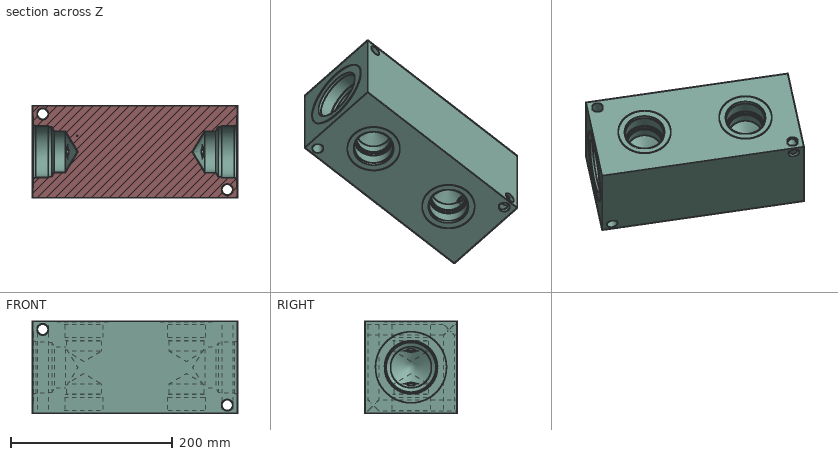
import cadquery as cq
import math

LENGTH = 254.0
WIDTH = 114.3
HEIGHT = 114.3

MOUNT_DIA = 13.49
MOUNT_END_INSET = 12.7
MOUNT_SIDE_INSET = 10.3

SPOTFACE_DEPTH = 0.8
SEAT_HALF_ANGLE = 15.0
DRILL_POINT_ANGLE = 118.0
THREAD_DEPTH = 19.8
TAP_DRILL_DEPTH = 23.7

END_PORT = {
    "spotface_dia": 88.14,
    "seat_mouth_dia": 65.7,
    "seat_root_dia": 63.96,
    "thread_dia": 63.5,
    "tap_drill_dia": 61.44,
    "drill_dia": 50.8,
    "drill_depth": 40.64,
}

SIDE_PORT = {
    "spotface_dia": 65.13,
    "seat_mouth_dia": 49.8,
    "seat_root_dia": 48.06,
    "thread_dia": 47.62,
    "tap_drill_dia": 45.57,
    "drill_dia": 42.88,
    "drill_depth": 36.83,
}
SIDE_PORT_X = LENGTH / 4


def port_cutter(port):
    """Stepped port bore with its mouth at the origin, running down -Z to a conical drill point."""
    spotface_r = port["spotface_dia"] / 2
    mouth_r = port["seat_mouth_dia"] / 2
    root_r = port["seat_root_dia"] / 2
    thread_r = port["thread_dia"] / 2
    tap_r = port["tap_drill_dia"] / 2
    drill_r = port["drill_dia"] / 2
    seat_length = (mouth_r - root_r) / math.tan(math.radians(SEAT_HALF_ANGLE))
    seat_depth = SPOTFACE_DEPTH + seat_length
    point_slope = 1 / math.tan(math.radians(DRILL_POINT_ANGLE / 2))
    tap_step_length = (tap_r - drill_r) * point_slope
    point_length = drill_r * point_slope
    profile = [
        (0, 0),
        (spotface_r, 0),
        (spotface_r, -SPOTFACE_DEPTH),
        (mouth_r, -SPOTFACE_DEPTH),
        (root_r, -seat_depth),
        (thread_r, -seat_depth),
        (thread_r, -THREAD_DEPTH),
        (tap_r, -THREAD_DEPTH),
        (tap_r, -TAP_DRILL_DEPTH),
        (drill_r, -TAP_DRILL_DEPTH - tap_step_length),
        (drill_r, -port["drill_depth"]),
        (0, -port["drill_depth"] - point_length),
    ]
    return cq.Workplane("XZ").polyline(profile).close().revolve(360, (0, 0, 0), (0, 1, 0))


def cut_end_ports(body):
    for side in (-1, 1):
        cutter = port_cutter(END_PORT).rotate((0, 0, 0), (0, 1, 0), 90 * side)
        body = body.cut(cutter.translate((side * LENGTH / 2, 0, 0)))
    return body


def cut_side_ports(body):
    top_cutter = port_cutter(SIDE_PORT).translate((0, 0, HEIGHT / 2))
    bottom_cutter = top_cutter.mirror("XY")
    for x in (-SIDE_PORT_X, SIDE_PORT_X):
        for cutter in (top_cutter, bottom_cutter):
            body = body.cut(cutter.translate((x, 0, 0)))
    return body


def cut_mounting_holes(body):
    x = LENGTH / 2 - MOUNT_END_INSET
    y = WIDTH / 2 - MOUNT_SIDE_INSET
    z = HEIGHT / 2 - MOUNT_SIDE_INSET
    radius = MOUNT_DIA / 2
    vertical = cq.Workplane("XY").pushPoints([(-x, y), (x, -y)]).circle(radius).extrude(HEIGHT / 2, both=True)
    crosswise = cq.Workplane("XZ").pushPoints([(-x, z), (x, -z)]).circle(radius).extrude(WIDTH / 2, both=True)
    return body.cut(vertical).cut(crosswise)


block = cq.Workplane("XY").box(LENGTH, WIDTH, HEIGHT)
result = cut_mounting_holes(cut_side_ports(cut_end_ports(block)))